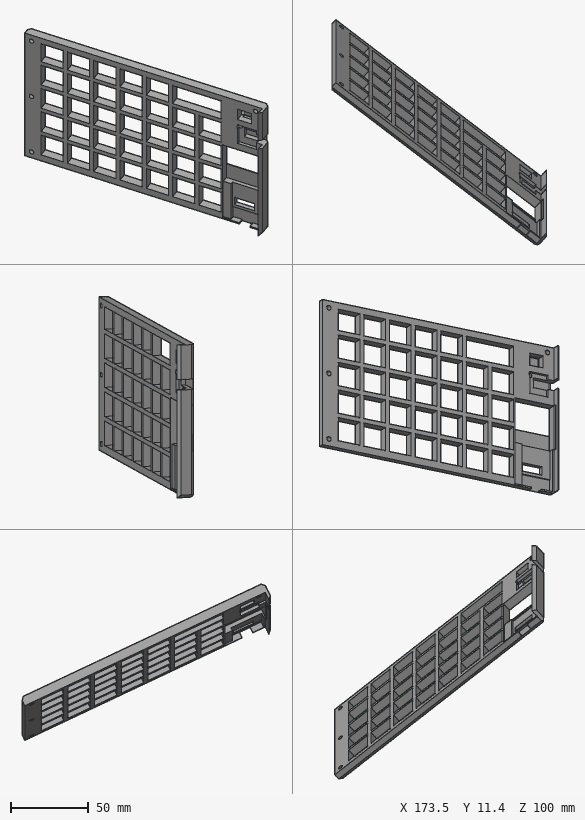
import cadquery as cq

length = 173.5
height = 100.0
plate_thickness = 6.0
lip_height = 5.4
lip_width = 2.0
bevel = 2.0
left_bevel = 1.7
lip_x = length - lip_width

key_columns = 7
key_rows = 5
key_span = 114.0
key_pitch = key_span / (key_columns - 1)
key_size = 16.0
key_left = 11.8
key_bottom = 5.0
top_row_height = 14.5
wide_key_column = 5

hole_diameter = 3.1
hole_inset = 4.9
hole_centres = [(hole_inset, z) for z in (hole_inset, height / 2, height - hole_inset)]
hole_centres += [(166.7, 96.0), (154.7, 78.5)]

display_left = 142.7
display_bottom = 29.8
display_top = 60.2
display_window_bottom = 41.0
display_floor_depth = 5.5
display_groove_height = 2.0
display_groove_depth = 0.3

bay_bottom = 1.0
bay_right = 170.3
ledge_right = 148.5
ledge_depth = 1.0
bay_depth = 3.0
bay_step_z = 10.0
bay_low_depth = 4.0
port_left, port_right = 150.0, 164.2
port_bottom, port_top = 12.1, 17.9
cable_left, cable_right = 154.9, 162.5

button_left, button_right = 153.7, 163.5
button_bottom, button_top = 84.8, 93.1
tongue_left, tongue_right = 155.5, 162.7
tongue_depth = 5.0
tongue_foot = 0.9
pad_height = 0.5
pad_bevel = 0.5
pad_bottom = 86.2

socket_left, socket_right = 153.7, 167.2
socket_bottom, socket_top = 65.4, 80.5
socket_depth = 2.0
slot_left = 157.5
slot_bottom, slot_top = 70.8, 77.5
slot_depth = 5.4


def block(x0, x1, y0, y1, z0, z1):
    """Box between the given limits."""
    return cq.Workplane("XY").box(x1 - x0, y1 - y0, z1 - z0, centered=False).translate((x0, y0, z0))


def opening(x0, x1, z0, z1):
    """Cutter that passes through the full plate thickness."""
    return block(x0, x1, 0, plate_thickness, z0, z1)


def make_plate():
    """Plate and pointed lip with bevelled left, right and bottom back edges."""
    profile = [
        (0, 0),
        (lip_x, 0),
        (lip_x, -lip_height),
        (length, bevel - lip_height),
        (length, plate_thickness - bevel),
        (length - bevel, plate_thickness),
        (left_bevel, plate_thickness),
        (0, plate_thickness - bevel),
    ]
    plate = cq.Workplane("XY").polyline(profile).close().extrude(height)
    back_edge = (
        cq.Workplane("YZ")
        .polyline([(plate_thickness - bevel, 0), (plate_thickness, 0), (plate_thickness, bevel)])
        .close()
        .extrude(length)
    )
    lip_corner = (
        cq.Workplane("XZ", origin=(0, plate_thickness, 0))
        .polyline([(length - bevel, 0), (length, 0), (length, bevel)])
        .close()
        .extrude(plate_thickness + lip_height)
    )
    return plate.cut(back_edge).cut(lip_corner)


def cut_keys(body):
    """Grid of key openings with a shorter top row and one double-width key."""
    for row in range(key_rows):
        is_top_row = row == key_rows - 1
        z = key_bottom + row * key_pitch
        opening_height = top_row_height if is_top_row else key_size
        for column in range(key_columns):
            x = key_left + column * key_pitch
            is_wide = is_top_row and column == wide_key_column
            opening_width = key_size + key_pitch if is_wide else key_size
            body = body.cut(opening(x, x + opening_width, z, z + opening_height))
            if is_wide:
                break
    return body


def cut_holes(body):
    holes = (
        cq.Workplane("XZ", origin=(0, plate_thickness, 0))
        .pushPoints(hole_centres)
        .circle(hole_diameter / 2)
        .extrude(plate_thickness)
    )
    return body.cut(holes)


def cut_display(body):
    recess = block(display_left, lip_x, 0, display_floor_depth, display_bottom, display_top)
    window = opening(display_left, lip_x, display_window_bottom, display_top)
    groove = block(
        display_left, lip_x + display_groove_depth, -display_groove_height, 0, display_bottom, display_top
    )
    return body.cut(recess).cut(window).cut(groove)


def cut_connector_bay(body):
    """Stepped bay with a side ledge, a port opening and a cable exit at the bottom."""
    ledge = block(display_left, ledge_right, 0, ledge_depth, bay_bottom, display_bottom)
    upper = block(ledge_right, bay_right, 0, bay_depth, bay_step_z, display_bottom)
    lower = block(ledge_right, bay_right, 0, bay_low_depth, bay_bottom, bay_step_z)
    cable_exit = block(cable_left, cable_right, 0, bay_low_depth, 0, bay_bottom)
    port = opening(port_left, port_right, port_bottom, port_top)
    for cutter in (ledge, upper, lower, cable_exit, port):
        body = body.cut(cutter)
    return body


def make_button(body):
    """Opening bridged by a tongue with a sloped foot and a raised, bevelled pad."""
    body = body.cut(opening(button_left, button_right, button_bottom, button_top))
    tongue_profile = [
        (plate_thickness, button_bottom),
        (tongue_depth - tongue_foot, button_bottom),
        (tongue_depth, button_bottom + tongue_foot),
        (tongue_depth, button_top),
        (plate_thickness, button_top),
    ]
    tongue = (
        cq.Workplane("YZ", origin=(tongue_left, 0, 0))
        .polyline(tongue_profile)
        .close()
        .extrude(tongue_right - tongue_left)
    )
    pad_front = tongue_depth - pad_height
    pad = block(tongue_left, tongue_right, pad_front, plate_thickness, pad_bottom, button_top - pad_bevel)
    return body.union(tongue).union(pad.faces("<Y").chamfer(pad_bevel))


def cut_socket(body):
    pocket = block(socket_left, socket_right, 0, socket_depth, socket_bottom, socket_top)
    slot = block(slot_left, length, -lip_height, slot_depth, slot_bottom, slot_top)
    return body.cut(pocket).cut(slot)


result = make_plate()
result = cut_keys(result)
result = cut_display(result)
result = cut_connector_bay(result)
result = make_button(result)
result = cut_socket(result)
result = cut_holes(result)